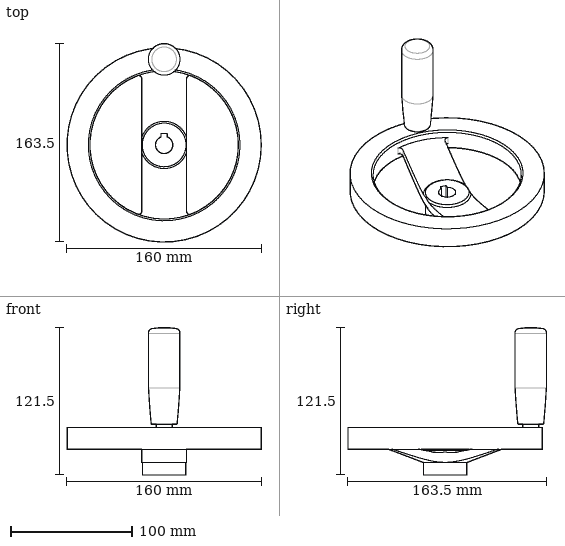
import cadquery as cq
import math

rim_diameter = 160.0
rim_radius = rim_diameter / 2
rim_height = 18.0
rim_inner_radius = 61.0
rim_chamfer = 1.5

hub_radius = 18.0
hub_bottom = -21.3
hub_top = -1.0
hub_flare = 1.5
hub_flare_drop = 1.8
hub_flare_sag = 0.44

spoke_width = 37.1
spoke_fillet = 2.5
dish_under_hub = -11.0
dish_under_exit_radius = 46.8
dish_top_at_rim = 11.3
rim_overlap = 1.6

bore_radius = 7.0
keyway_width = 5.0
keyway_top = 9.3

overall_length = 163.5
handle_diameter = 26.0
handle_radius = handle_diameter / 2
handle_offset = overall_length - rim_radius - handle_radius
handle_foot_radius = 10.8
handle_foot_fillet = 1.0
neck_radius = 6.7
neck_height = 2.5
handle_taper_top = 50.5
handle_shoulder = 95.3
crown_radius = 10.1
crown_edge = 99.4
handle_top = 100.2
taper_bulge = 0.2
shoulder_bulge = 1.0


def make_rim():
    """Ring with both inner edges chamfered."""
    ring = cq.Workplane("XY").circle(rim_radius).circle(rim_inner_radius).extrude(rim_height)
    inner_edges = ring.edges("%CIRCLE").edges(cq.selectors.RadiusNthSelector(0))
    return inner_edges.chamfer(rim_chamfer)


def arc_middle(start, end, bulge):
    """Point off the middle of the chord by the bulge, to the right of travel."""
    run = end[0] - start[0]
    rise = end[1] - start[1]
    chord = math.hypot(run, rise)
    return (
        (start[0] + end[0]) / 2 + bulge * rise / chord,
        (start[1] + end[1]) / 2 - bulge * run / chord,
    )


def make_spokes():
    """Two opposite arms with conical upper and lower faces, rounded into the rim."""
    under_slope = -dish_under_hub / (dish_under_exit_radius - hub_radius)
    end_radius = rim_inner_radius + rim_overlap
    flare_radius = hub_radius + hub_flare
    flare_bottom = hub_top - hub_flare_drop
    flare_foot = (flare_radius, flare_bottom)
    hub_edge = (hub_radius, hub_top)
    top_slope = (dish_top_at_rim - flare_bottom) / (rim_inner_radius - flare_radius)
    dish = (
        cq.Workplane("XZ")
        .moveTo(0, dish_under_hub)
        .lineTo(hub_radius, dish_under_hub)
        .lineTo(end_radius, dish_under_hub + under_slope * (end_radius - hub_radius))
        .lineTo(end_radius, dish_top_at_rim + top_slope * rim_overlap)
        .lineTo(*flare_foot)
        .threePointArc(arc_middle(flare_foot, hub_edge, -hub_flare_sag), hub_edge)
        .lineTo(0, hub_top)
        .close()
        .revolve(360, (0, 0), (0, 1))
    )
    return dish.intersect(make_spoke_outline())


def make_spoke_outline():
    """Prism of the arm outline, flared by a fillet at each corner with the rim."""
    prism_height = rim_height - hub_bottom
    half_width = spoke_width / 2
    center_x = half_width + spoke_fillet
    center_radius = rim_inner_radius - spoke_fillet
    center_y = math.sqrt(center_radius**2 - center_x**2)
    touch_x = center_x * rim_inner_radius / center_radius
    end_y = rim_inner_radius + rim_overlap
    bar = cq.Workplane("XY", origin=(0, 0, hub_bottom)).rect(spoke_width, 2 * end_y).extrude(prism_height)
    for side in (-1, 1):
        for end in (-1, 1):
            flare = (
                cq.Workplane("XY", origin=(0, 0, hub_bottom))
                .moveTo(0, end * center_y)
                .lineTo(side * touch_x, end * center_y)
                .lineTo(side * touch_x, end * end_y)
                .lineTo(0, end * end_y)
                .close()
                .extrude(prism_height)
            )
            relief = (
                cq.Workplane("XY", origin=(side * center_x, end * center_y, hub_bottom))
                .circle(spoke_fillet)
                .extrude(prism_height)
            )
            bar = bar.union(flare.cut(relief))
    return bar


def make_hub():
    """Round boss under the arms."""
    return cq.Workplane("XY", origin=(0, 0, hub_bottom)).circle(hub_radius).extrude(hub_top - hub_bottom)


def make_bore():
    """Through bore with a keyway on the handle side."""
    hub_height = hub_top - hub_bottom
    base = cq.Workplane("XY", origin=(0, 0, hub_bottom))
    keyway = base.center(0, keyway_top / 2).rect(keyway_width, keyway_top).extrude(hub_height)
    round_bore = cq.Workplane("XY", origin=(0, 0, hub_bottom)).circle(bore_radius).extrude(hub_height)
    return round_bore.union(keyway)


def make_handle():
    """Turned grip with a thin neck, a bulged taper and a domed crown."""
    foot = rim_height + neck_height
    foot_inner = (handle_foot_radius - handle_foot_fillet, foot)
    foot_outer = (handle_foot_radius, foot + handle_foot_fillet)
    taper_end = (handle_radius, handle_taper_top)
    shoulder = (handle_radius, handle_shoulder)
    crown = (crown_radius, crown_edge)
    fillet_bulge = handle_foot_fillet * (1 - math.sqrt(0.5))
    dome_radius = (crown_radius**2 + (handle_top - crown_edge) ** 2) / (2 * (handle_top - crown_edge))
    dome_mid_x = crown_radius / 2
    dome_mid_z = handle_top - dome_radius + math.sqrt(dome_radius**2 - dome_mid_x**2)
    return (
        cq.Workplane("XZ", origin=(0, handle_offset, 0))
        .moveTo(0, rim_height)
        .lineTo(neck_radius, rim_height)
        .lineTo(neck_radius, foot)
        .lineTo(*foot_inner)
        .threePointArc(arc_middle(foot_inner, foot_outer, fillet_bulge), foot_outer)
        .threePointArc(arc_middle(foot_outer, taper_end, taper_bulge), taper_end)
        .lineTo(*shoulder)
        .threePointArc(arc_middle(shoulder, crown, shoulder_bulge), crown)
        .threePointArc((dome_mid_x, dome_mid_z), (0, handle_top))
        .close()
        .revolve(360, (0, 0), (0, 1))
    )


wheel = make_rim().union(make_spokes()).union(make_hub()).cut(make_bore())
result = wheel.union(make_handle())